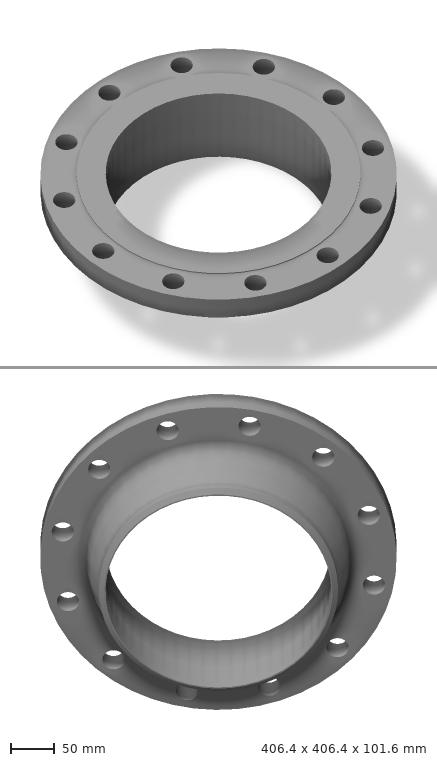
import cadquery as cq
import math

flange_diameter = 406.4
overall_height = 101.6
raised_face_height = 1.6
raised_face_diameter = 323.8
flange_thickness = 30.2
bore_diameter = 257.4

bolt_count = 12
bolt_circle_diameter = 362.0
bolt_hole_diameter = 25.4

hub_base_diameter = 304.8
weld_end_diameter = 273.0
weld_end_length = 12.6
weld_land = 1.6
bevel_angle = 37.5
hub_fillet_radius = 8.0

flange_top = overall_height - raised_face_height
flange_bottom = overall_height - flange_thickness

weld_wall = (weld_end_diameter - bore_diameter) / 2
bevel_width = weld_wall - weld_land
bevel_height = bevel_width * math.tan(math.radians(bevel_angle))


def make_body():
    """Revolve the half section about Z."""
    bore_radius = bore_diameter / 2
    weld_end_radius = weld_end_diameter / 2
    section = (
        cq.Workplane("XZ")
        .moveTo(bore_radius, 0)
        .lineTo(bore_radius + weld_land, 0)
        .lineTo(weld_end_radius, bevel_height)
        .lineTo(weld_end_radius, weld_end_length)
        .lineTo(hub_base_diameter / 2, flange_bottom)
        .lineTo(flange_diameter / 2, flange_bottom)
        .lineTo(flange_diameter / 2, flange_top)
        .lineTo(raised_face_diameter / 2, flange_top)
        .lineTo(raised_face_diameter / 2, overall_height)
        .lineTo(bore_radius, overall_height)
        .close()
    )
    return section.revolve(360, (0, 0, 0), (0, 1, 0))


def fillet_hub_root(body):
    """Round the inside corner where the hub meets the flange."""
    margin = 1.0
    reach = hub_base_diameter / 2 + margin
    root = cq.selectors.BoxSelector(
        (-reach, -reach, flange_bottom - margin),
        (reach, reach, flange_bottom + margin),
        boundingbox=True,
    )
    return body.edges(root).fillet(hub_fillet_radius)


def make_bolt_holes():
    return (
        cq.Workplane("XY")
        .polarArray(bolt_circle_diameter / 2, 0, 360, bolt_count)
        .circle(bolt_hole_diameter / 2)
        .extrude(overall_height)
    )


result = fillet_hub_root(make_body()).cut(make_bolt_holes())